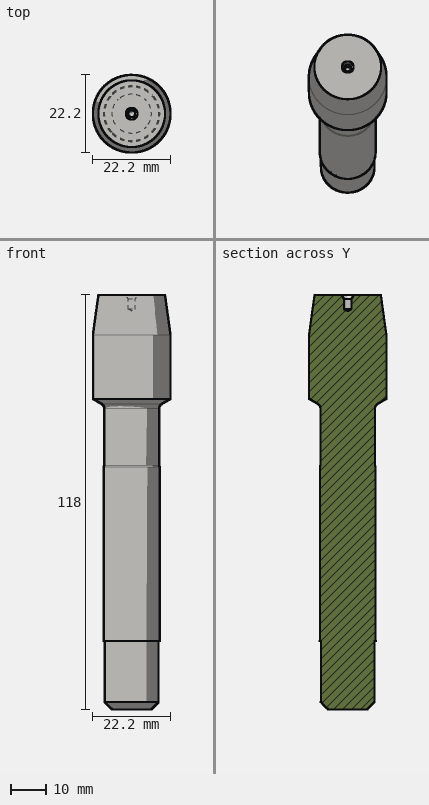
import cadquery as cq
import math

total_length = 118.0
tip_taper_length = 2.1
tip_top = 19.5
neck_bottom = 69.5
lead_in_length = 0.5
head_bottom = 88.4
crown_height = 11.5

head_radius = 22.19 / 2
crown_radius = 19.0 / 2
shank_radius = 16.0 / 2
neck_radius = 15.7 / 2
tip_radius = 15.36 / 2
tip_end_radius = tip_radius - tip_taper_length

underhead_angle = math.radians(30.0)
neck_fillet_radius = 1.5

centre_hole_radius = 2.0 / 2
centre_hole_depth = 4.0
drill_point_half_angle = math.radians(60.0)
countersink_radius = 3.3 / 2
countersink_depth = 1.2


def neck_fillet():
    """Return the start, middle and end of the arc that joins the neck to the flank."""
    turn = math.pi / 2 - underhead_angle
    corner_z = head_bottom - (head_radius - neck_radius) * math.tan(underhead_angle)
    centre_r = neck_radius + neck_fillet_radius
    centre_z = corner_z - neck_fillet_radius * math.tan(turn / 2)

    def on_arc(angle):
        return (
            centre_r - neck_fillet_radius * math.cos(angle),
            centre_z + neck_fillet_radius * math.sin(angle),
        )

    return on_arc(0.0), on_arc(turn / 2), on_arc(turn)


def body():
    """Turned body, revolved about Z from its half outline."""
    fillet_start, fillet_middle, fillet_end = neck_fillet()
    head_top = total_length - crown_height
    shank_top = neck_bottom - lead_in_length
    outline = (
        cq.Workplane("XZ")
        .moveTo(0, 0)
        .lineTo(tip_end_radius, 0)
        .lineTo(tip_radius, tip_taper_length)
        .lineTo(tip_radius, tip_top)
        .lineTo(shank_radius, tip_top)
        .lineTo(shank_radius, shank_top)
        .lineTo(neck_radius, neck_bottom)
        .lineTo(*fillet_start)
        .threePointArc(fillet_middle, fillet_end)
        .lineTo(head_radius, head_bottom)
        .lineTo(head_radius, head_top)
        .lineTo(crown_radius, total_length)
        .lineTo(0, total_length)
        .close()
    )
    return outline.revolve(360, (0, 0, 0), (0, 1, 0))


def centre_hole():
    """Countersunk blind hole with a conical drill point, as a solid to remove from the top face."""
    countersink_bottom = total_length - countersink_depth
    hole_bottom = total_length - centre_hole_depth
    point_depth = centre_hole_radius / math.tan(drill_point_half_angle)
    outline = (
        cq.Workplane("XZ")
        .moveTo(0, hole_bottom - point_depth)
        .lineTo(centre_hole_radius, hole_bottom)
        .lineTo(centre_hole_radius, countersink_bottom)
        .lineTo(countersink_radius, total_length)
        .lineTo(0, total_length)
        .close()
    )
    return outline.revolve(360, (0, 0, 0), (0, 1, 0))


result = body().cut(centre_hole())